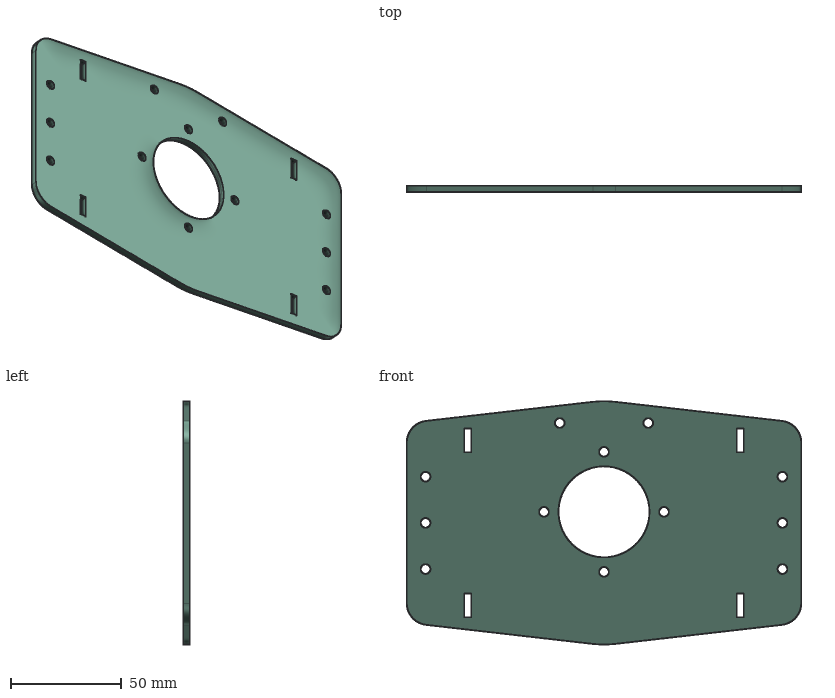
import cadquery as cq
import math

length = 178.0
height = 109.8
thickness = 3.0
end_height = 90.0
corner_radius = 10.0
apex_radius = 44.5

bore_diameter = 41.0
bore_z = 5.0
bolt_circle_radius = 27.0
bolt_count = 4

hole_diameter = 4.3
end_hole_x = 80.5
end_hole_pitch = 20.8
top_hole_x = 20.0
top_hole_z = 45.0

slot_width = 3.0
slot_height = 10.5
slot_x = 61.4
slot_z = 37.2

arc_centre_z = height / 2 - apex_radius
corner_rise = end_height / 2 - arc_centre_z
corner_distance = math.hypot(length / 2, corner_rise)
slope = math.atan2(length / 2, corner_rise) - math.acos(apex_radius / corner_distance)
sharp_apex_z = arc_centre_z + apex_radius / math.cos(slope)


def make_plate():
    """Six-sided plate with rounded ends and softly rounded apexes."""
    half_length = length / 2
    half_end = end_height / 2
    outline = [
        (-half_length, -half_end),
        (0, -sharp_apex_z),
        (half_length, -half_end),
        (half_length, half_end),
        (0, sharp_apex_z),
        (-half_length, half_end),
    ]
    plate = cq.Workplane("XZ").polyline(outline).close().extrude(thickness / 2, both=True)
    plate = plate.edges("|Y").edges("<X or >X").fillet(corner_radius)
    return plate.edges("|Y").edges("<Z or >Z").fillet(apex_radius)


def make_holes():
    """Cutters for the bolt circle, the end columns and the top pair."""
    points = []
    for i in range(bolt_count):
        angle = 2 * math.pi * i / bolt_count
        points.append((
            bolt_circle_radius * math.cos(angle),
            bore_z + bolt_circle_radius * math.sin(angle),
        ))
    for side in (-1, 1):
        points.append((side * top_hole_x, top_hole_z))
        for row in (-1, 0, 1):
            points.append((side * end_hole_x, row * end_hole_pitch))
    return cq.Workplane("XZ").pushPoints(points).circle(hole_diameter / 2).extrude(thickness, both=True)


def make_bore():
    """Cutter for the large central opening."""
    return cq.Workplane("XZ").center(0, bore_z).circle(bore_diameter / 2).extrude(thickness, both=True)


def make_slots():
    """Cutters for the four slots, mirrored about both centre lines."""
    points = [(sx * slot_x, sz * slot_z) for sx in (-1, 1) for sz in (-1, 1)]
    return cq.Workplane("XZ").pushPoints(points).rect(slot_width, slot_height).extrude(thickness, both=True)


result = make_plate().cut(make_bore()).cut(make_holes()).cut(make_slots())